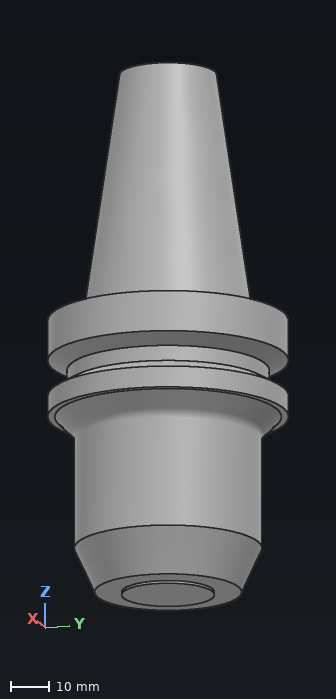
import cadquery as cq
import math

total_height = 140.4
gauge_height = 75.0
flange_top = 74.0
groove_top = 63.2
groove_floor_top = 60.5
groove_floor_bottom = 56.5
groove_bottom = 53.6
flange_bottom = 48.0
body_bottom = 12.5
nose_face = 0.7

taper_small_diameter = 25.4
gauge_diameter = 44.5
flange_diameter = 63.0
groove_diameter = 53.0
flange_underside_diameter = 59.2
body_diameter = 49.1
nose_diameter = 38.5
tip_diameter = 24.3

underside_angle = math.radians(45)
underside_fillet = 2.8
body_radius = body_diameter / 2
underside_radius = flange_underside_diameter / 2
fillet_center_radius = body_radius + underside_fillet


def fillet_offset(angle):
    """Radius on the blend arc, at an angle up from its tangent point on the body."""
    return fillet_center_radius - underside_fillet * math.cos(angle)


cone_end_radius = fillet_offset(underside_angle)
cone_end_height = flange_bottom - (underside_radius - cone_end_radius) / math.tan(underside_angle)
fillet_start_height = cone_end_height - underside_fillet * math.sin(underside_angle)
fillet_middle = (
    fillet_offset(underside_angle / 2),
    fillet_start_height + underside_fillet * math.sin(underside_angle / 2),
)

half_section = (
    cq.Workplane("XZ")
    .moveTo(0, 0)
    .lineTo(tip_diameter / 2, 0)
    .lineTo(tip_diameter / 2, nose_face)
    .lineTo(nose_diameter / 2, nose_face)
    .lineTo(body_radius, body_bottom)
    .lineTo(body_radius, fillet_start_height)
    .threePointArc(fillet_middle, (cone_end_radius, cone_end_height))
    .lineTo(underside_radius, flange_bottom)
    .lineTo(flange_diameter / 2, flange_bottom)
    .lineTo(flange_diameter / 2, groove_bottom)
    .lineTo(groove_diameter / 2, groove_floor_bottom)
    .lineTo(groove_diameter / 2, groove_floor_top)
    .lineTo(flange_diameter / 2, groove_top)
    .lineTo(flange_diameter / 2, flange_top)
    .lineTo(gauge_diameter / 2, flange_top)
    .lineTo(gauge_diameter / 2, gauge_height)
    .lineTo(taper_small_diameter / 2, total_height)
    .lineTo(0, total_height)
    .close()
)

result = half_section.revolve(360, (0, 0, 0), (0, 1, 0))